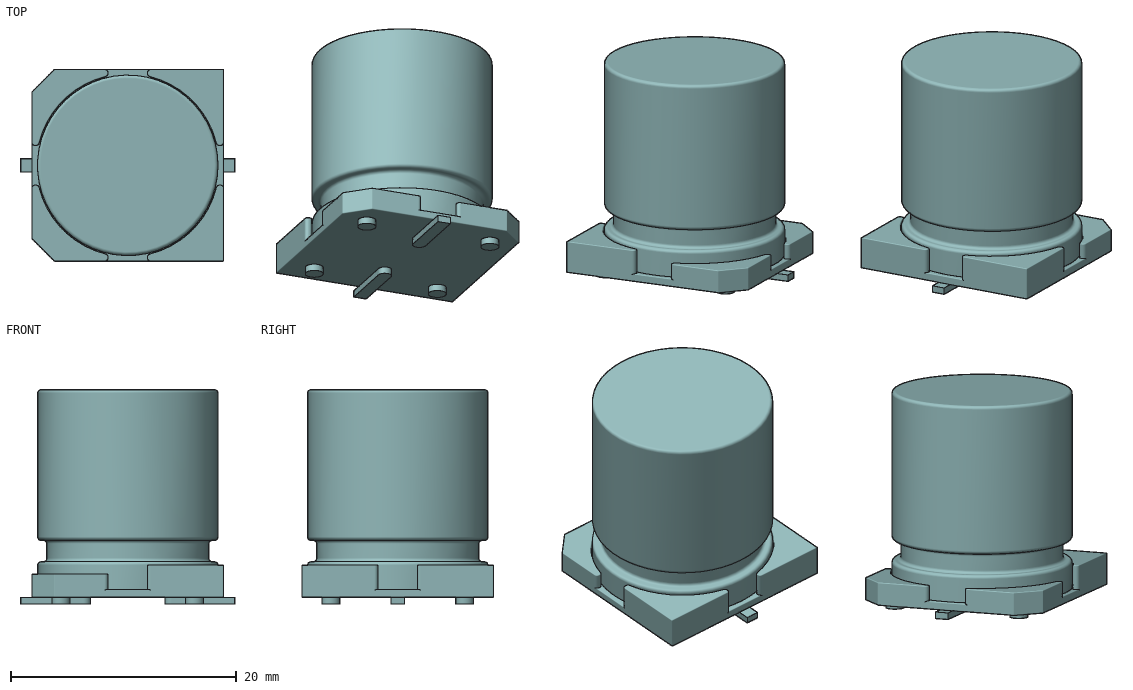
import cadquery as cq
import math

TOTAL_HEIGHT = 19.0
LEAD_SPAN = 19.0

CAN_RADIUS = 16.0 / 2
NECK_RADIUS = 14.4 / 2
CAN_TOP_FILLET = 0.3
CRIMP_FILLET = 0.3
NECK_BOTTOM = 4.05
NECK_TOP = 5.34

BASE_SIDE = 17.0
BASE_BOTTOM = 0.6
NOTCH_FLOOR = 1.3
SHORT_CORNER_TOP = 2.65
TALL_CORNER_TOP = 3.45
CORNER_CHAMFER = 2.0
SOCKET_RADIUS = 8.1
NOTCH_WIDTH = 3.5
NOTCH_FILLET = 0.3
EDGE_FILLET = 0.08

LEAD_WIDTH = 1.2
LEAD_INNER_END = 3.3
PIN_RADIUS = 1.6 / 2
PIN_OFFSET = 5.93


def make_can():
    """Revolve the can profile, with S-shaped crimp shoulders on both sides of the neck."""
    r = CRIMP_FILLET
    diagonal = r * math.sqrt(0.5)
    lower_edge = NECK_BOTTOM - 2 * r
    upper_edge = NECK_TOP + 2 * r
    lower_flat = NECK_BOTTOM - r
    upper_flat = NECK_TOP + r
    rim_centre = CAN_RADIUS - r
    root_centre = NECK_RADIUS + r
    profile = (
        cq.Workplane("XZ")
        .moveTo(0, NOTCH_FLOOR)
        .lineTo(CAN_RADIUS, NOTCH_FLOOR)
        .lineTo(CAN_RADIUS, lower_edge)
        .threePointArc((rim_centre + diagonal, lower_edge + diagonal), (rim_centre, lower_flat))
        .lineTo(root_centre, lower_flat)
        .threePointArc((root_centre - diagonal, NECK_BOTTOM - diagonal), (NECK_RADIUS, NECK_BOTTOM))
        .lineTo(NECK_RADIUS, NECK_TOP)
        .threePointArc((root_centre - diagonal, NECK_TOP + diagonal), (root_centre, upper_flat))
        .lineTo(rim_centre, upper_flat)
        .threePointArc((rim_centre + diagonal, upper_edge - diagonal), (CAN_RADIUS, upper_edge))
        .lineTo(CAN_RADIUS, TOTAL_HEIGHT)
        .lineTo(0, TOTAL_HEIGHT)
        .close()
    )
    can = profile.revolve(360, (0, 0, 0), (0, 1, 0))
    return can.faces(">Z").edges().fillet(CAN_TOP_FILLET)


def make_chamfered_block(top):
    """Square block from the base underside up to `top`, with its two -X corners cut off."""
    return (
        cq.Workplane("XY", origin=(0, 0, BASE_BOTTOM))
        .rect(BASE_SIDE, BASE_SIDE)
        .extrude(top - BASE_BOTTOM)
        .edges("|Z and <X")
        .chamfer(CORNER_CHAMFER)
        .edges("|Z or <Z")
        .fillet(EDGE_FILLET)
    )


def make_corner(x_side, y_side, top):
    """Corner block between two notches, hollowed around the can and rounded along the notch walls."""
    inner = NOTCH_WIDTH / 2
    size = BASE_SIDE / 2 - inner
    centre = inner + size / 2
    quadrant = (
        cq.Workplane("XY", origin=(x_side * centre, y_side * centre, BASE_BOTTOM))
        .rect(size, size)
        .extrude(top - BASE_BOTTOM)
    )
    socket = cq.Workplane("XY").circle(SOCKET_RADIUS).extrude(TOTAL_HEIGHT)
    corner = make_chamfered_block(top).intersect(quadrant).cut(socket)
    x_notch_wall = "<X" if x_side > 0 else ">X"
    y_notch_wall = "<Y" if y_side > 0 else ">Y"
    corner = corner.edges(f"|Z and ({x_notch_wall} or {y_notch_wall})").fillet(NOTCH_FILLET)
    return corner.faces(">Z").edges().fillet(EDGE_FILLET)


def make_base():
    """Thin chamfered plate with two short corners at -X and two tall ones at +X."""
    base = make_chamfered_block(NOTCH_FLOOR).faces(">Z").edges().fillet(EDGE_FILLET)
    for x_side, top in ((-1, SHORT_CORNER_TOP), (1, TALL_CORNER_TOP)):
        for y_side in (-1, 1):
            base = base.union(make_corner(x_side, y_side, top))
    return base


def make_lead(side):
    """Flat lead leaving the base along X, rounded at its inner end."""
    half_width = LEAD_WIDTH / 2
    outer_x = side * LEAD_SPAN / 2
    tip_x = side * LEAD_INNER_END
    round_start_x = side * (LEAD_INNER_END + half_width)
    return (
        cq.Workplane("XY")
        .moveTo(outer_x, -half_width)
        .lineTo(round_start_x, -half_width)
        .threePointArc((tip_x, 0), (round_start_x, half_width))
        .lineTo(outer_x, half_width)
        .close()
        .extrude(BASE_BOTTOM)
    )


def make_pins():
    """Four standoff pins, one under each corner of the base."""
    spacing = 2 * PIN_OFFSET
    return cq.Workplane("XY").rarray(spacing, spacing, 2, 2).circle(PIN_RADIUS).extrude(BASE_BOTTOM)


result = make_base().union(make_can()).union(make_pins())
for side in (-1, 1):
    result = result.union(make_lead(side))